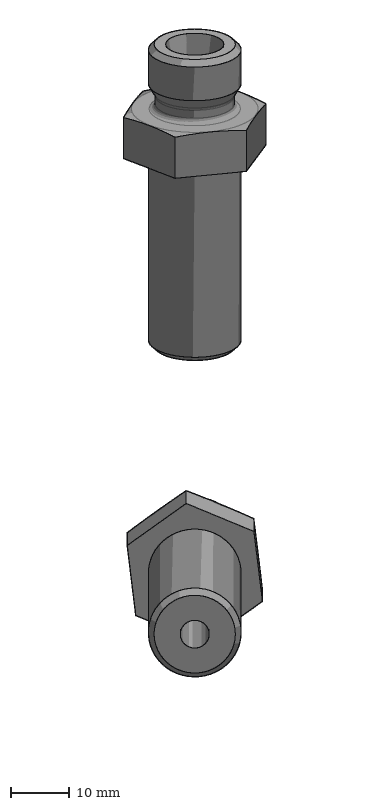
import cadquery as cq
import math

total_length = 56.0
hex_across_flats = 22.0
hex_height = 8.0
neck_length = 12.0
hex_top = total_length - neck_length
hex_bottom = hex_top - hex_height

body_radius = 16.0 / 2
end_chamfer = 1.0
groove_radius = 13.7 / 2
groove_blend = 1.0
thread_runout_drop = 7.3
groove_cone_angle = 30.0

hex_face_radius = 10.9
hex_chamfer_angle = 12.0

bore_diameter = 5.0
cone_mouth_radius = 10.0 / 2
socket_radius = 8.0 / 2
cone_half_angle = 12.0
socket_depth = 7.0


def revolve_profile(profile):
    """Revolve a closed radius-height profile about the Z axis."""
    return profile.close().revolve(360, (0, 0, 0), (0, 1, 0))


def make_hexagon():
    """Hexagon with flats facing -X and +X and its upper corners chamfered."""
    corner_radius = hex_across_flats / math.sqrt(3)
    chamfer_drop = (corner_radius - hex_face_radius) * math.tan(math.radians(hex_chamfer_angle))
    prism = (
        cq.Workplane("XY").workplane(offset=hex_bottom)
        .polygon(6, 2 * corner_radius)
        .extrude(hex_height)
        .rotate((0, 0, 0), (0, 0, 1), 30)
    )
    envelope = revolve_profile(
        cq.Workplane("XZ").moveTo(0, hex_bottom)
        .lineTo(corner_radius, hex_bottom)
        .lineTo(corner_radius, hex_top - chamfer_drop)
        .lineTo(hex_face_radius, hex_top)
        .lineTo(0, hex_top)
    )
    return prism.intersect(envelope)


def make_tube():
    """Plain round tube below the hexagon, chamfered at its free end."""
    tube = cq.Workplane("XY").circle(body_radius).extrude(hex_bottom)
    return tube.faces("<Z").chamfer(end_chamfer)


def make_threaded_end():
    """Round end above the hexagon with its rounded relief groove."""
    flank = math.radians(groove_cone_angle)
    cone_top = total_length - thread_runout_drop
    arc_center_radius = groove_radius + groove_blend
    cone_foot_radius = arc_center_radius - groove_blend * math.cos(flank)
    cone_foot = cone_top - (body_radius - cone_foot_radius) / math.tan(flank)
    arc_center_height = cone_foot - groove_blend * math.sin(flank)
    arc_middle = (
        arc_center_radius - groove_blend * math.cos(flank / 2),
        arc_center_height + groove_blend * math.sin(flank / 2),
    )
    root_center_height = hex_top + groove_blend
    root_middle = (
        arc_center_radius - groove_blend * math.cos(math.pi / 4),
        root_center_height - groove_blend * math.sin(math.pi / 4),
    )
    return revolve_profile(
        cq.Workplane("XZ").moveTo(0, hex_top)
        .lineTo(arc_center_radius, hex_top)
        .threePointArc(root_middle, (groove_radius, root_center_height))
        .lineTo(groove_radius, arc_center_height)
        .threePointArc(arc_middle, (cone_foot_radius, cone_foot))
        .lineTo(body_radius, cone_top)
        .lineTo(body_radius, total_length - end_chamfer)
        .lineTo(body_radius - end_chamfer, total_length)
        .lineTo(0, total_length)
    )


def make_bore():
    """Through bore with a flat-bottomed socket and a conical mouth at the upper end."""
    cone_depth = (cone_mouth_radius - socket_radius) / math.tan(math.radians(cone_half_angle))
    cone_foot = total_length - cone_depth
    socket_floor = total_length - socket_depth
    return revolve_profile(
        cq.Workplane("XZ").moveTo(0, 0)
        .lineTo(bore_diameter / 2, 0)
        .lineTo(bore_diameter / 2, socket_floor)
        .lineTo(socket_radius, socket_floor)
        .lineTo(socket_radius, cone_foot)
        .lineTo(cone_mouth_radius, total_length)
        .lineTo(0, total_length)
    )


outside = make_hexagon().union(make_tube()).union(make_threaded_end())
result = outside.cut(make_bore())